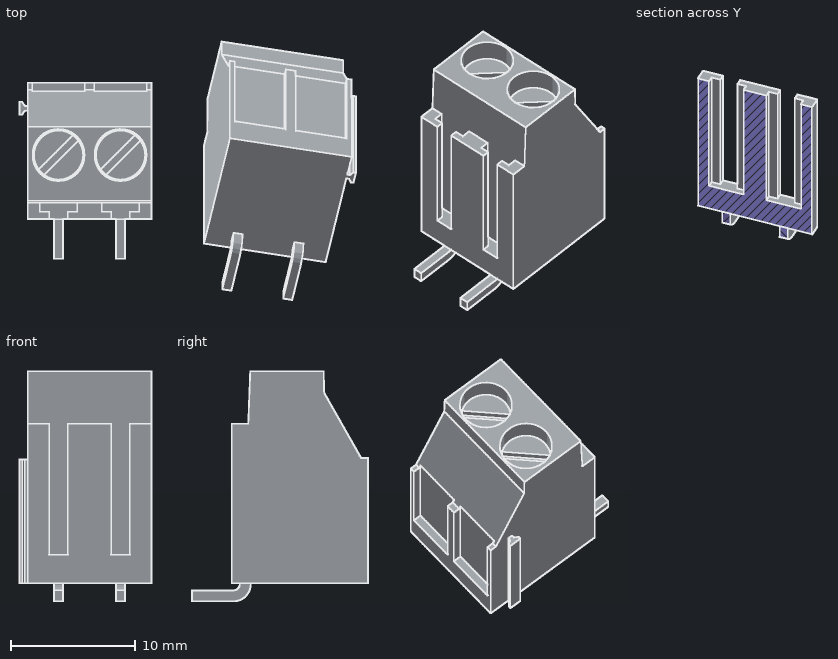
import cadquery as cq
import math


pole_pitch = 5.0
pole_count = 2
pole_xs = [(i - (pole_count - 1) / 2) * pole_pitch for i in range(pole_count)]

housing_width = pole_count * pole_pitch
housing_depth = 11.0
housing_height = 17.12
front_shelf_depth = 1.33
front_shelf_height = 12.88
tower_front_top = 1.49
tower_back_top = 7.43
tower_back_base = 7.47
tower_base_height = 15.37
rear_ledge_depth = 0.55
rear_ledge_height = 10.12

well_diameter = 4.2
well_y = 5.17
screw_diameter = 3.96
screw_recess = 1.75
screw_length = 2.0
drive_slot_width = 0.62
drive_slot_depth = 0.7
drive_slot_angle = 45
well_depth = screw_recess + screw_length

slot_mouth_width = 1.5
slot_mouth_depth = 0.58
slot_inner_width = 3.0
slot_floor_height = 2.33

entry_width = well_diameter
entry_depth = 0.69
entry_floor_height = slot_floor_height

rail_projection = 0.65
rail_step = rail_projection / 3
rail_neck_width = 0.4
rail_head_width = 1.06
rail_y = 8.94
rail_height = 10.0

pin_width = 0.75
pin_thickness = 0.9
pin_back_y = 1.55
pin_reach = 3.2
pin_stub = 0.05
bend_inner_radius = 0.5


def make_shell():
    """Housing side outline, extruded across the full width."""
    outline = [
        (0, 0),
        (0, front_shelf_height),
        (front_shelf_depth, front_shelf_height),
        (tower_front_top, housing_height),
        (tower_back_top, housing_height),
        (tower_back_base, tower_base_height),
        (housing_depth - rear_ledge_depth, rear_ledge_height),
        (housing_depth, rear_ledge_height),
        (housing_depth, 0),
    ]
    return cq.Workplane("YZ").polyline(outline).close().extrude(housing_width / 2, both=True)


def make_rail():
    """Dovetail rail: a thin neck that flares out to a flat head."""
    side = -housing_width / 2
    half_neck = rail_neck_width / 2
    half_head = rail_head_width / 2
    outline = [
        (side, rail_y - half_neck),
        (side - rail_step, rail_y - half_neck),
        (side - 2 * rail_step, rail_y - half_head),
        (side - rail_projection, rail_y - half_head),
        (side - rail_projection, rail_y + half_head),
        (side - 2 * rail_step, rail_y + half_head),
        (side - rail_step, rail_y + half_neck),
        (side, rail_y + half_neck),
    ]
    return cq.Workplane("XY").polyline(outline).close().extrude(rail_height)


def make_well(x):
    """Round well for one screw, blind from the housing top."""
    top = cq.Workplane("XY").workplane(offset=housing_height)
    return top.center(x, well_y).circle(well_diameter / 2).extrude(-well_depth)


def make_front_slot(x):
    """T-shaped slot, open at the front shelf and closed at its lower end."""
    height = front_shelf_height - slot_floor_height
    base = cq.Workplane("XY").workplane(offset=slot_floor_height)
    inner_depth = front_shelf_depth - slot_mouth_depth
    mouth = base.center(x, slot_mouth_depth / 2).rect(slot_mouth_width, slot_mouth_depth).extrude(height)
    inner_y = slot_mouth_depth + inner_depth / 2
    inner = base.center(x, inner_y).rect(slot_inner_width, inner_depth).extrude(height)
    return mouth.union(inner)


def make_wire_entry(x):
    """Shallow rear pocket that breaks out through the ledge and the foot of the slope."""
    base = cq.Workplane("XY").workplane(offset=entry_floor_height)
    pocket = base.center(x, housing_depth - entry_depth / 2).rect(entry_width, entry_depth)
    return pocket.extrude(housing_height - entry_floor_height)


def make_housing():
    housing = make_shell().union(make_rail())
    for x in pole_xs:
        housing = housing.cut(make_well(x)).cut(make_front_slot(x)).cut(make_wire_entry(x))
    return housing


def make_screw(x):
    """Slotted screw standing on the floor of its well."""
    base = cq.Workplane("XY").workplane(offset=housing_height - well_depth)
    screw = base.circle(screw_diameter / 2).extrude(screw_length)
    head_top = cq.Workplane("XY").workplane(offset=housing_height - screw_recess)
    drive_slot = head_top.rect(screw_diameter, drive_slot_width).extrude(-drive_slot_depth)
    drive_slot = drive_slot.rotate((0, 0, 0), (0, 0, 1), drive_slot_angle)
    return screw.cut(drive_slot).translate((x, well_y, 0))


def make_pin(x):
    """Square-edged pin that leaves the housing underside and bends to the front."""
    bend_outer_radius = bend_inner_radius + pin_thickness
    bend_y = pin_back_y - bend_outer_radius
    bend_z = -pin_stub
    diagonal = math.sqrt(0.5)
    outer_mid = (bend_y + bend_outer_radius * diagonal, bend_z - bend_outer_radius * diagonal)
    inner_mid = (bend_y + bend_inner_radius * diagonal, bend_z - bend_inner_radius * diagonal)
    profile = (
        cq.Workplane("YZ")
        .moveTo(pin_back_y, 0)
        .lineTo(pin_back_y, bend_z)
        .threePointArc(outer_mid, (bend_y, bend_z - bend_outer_radius))
        .lineTo(-pin_reach, bend_z - bend_outer_radius)
        .lineTo(-pin_reach, bend_z - bend_inner_radius)
        .lineTo(bend_y, bend_z - bend_inner_radius)
        .threePointArc(inner_mid, (pin_back_y - pin_thickness, bend_z))
        .lineTo(pin_back_y - pin_thickness, 0)
        .close()
    )
    return profile.extrude(pin_width / 2, both=True).translate((x, 0, 0))


housing = make_housing()
screws = [make_screw(x) for x in pole_xs]
pins = [make_pin(x) for x in pole_xs]

result = cq.Compound.makeCompound([body.val() for body in [housing, *screws, *pins]])